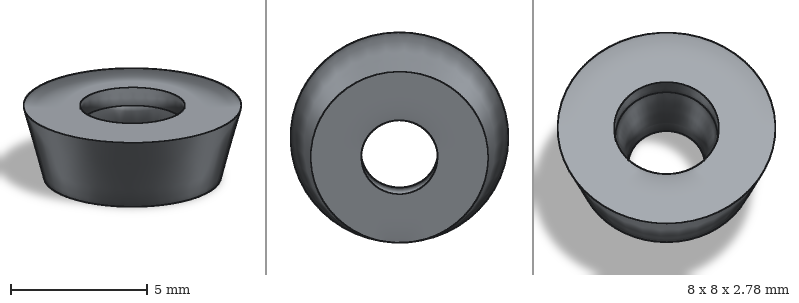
import cadquery as cq
import math

top_diameter = 8.0
thickness = 2.78
relief_angle = 15.0

bore_diameter = 2.8
bore_length = 0.62
mouth_diameter = 3.85
mouth_depth = 0.69
mouth_taper_angle = 4.0

top_radius = top_diameter / 2
bottom_radius = top_radius - thickness * math.tan(math.radians(relief_angle))
bore_radius = bore_diameter / 2
mouth_radius = mouth_diameter / 2
seat_radius = mouth_radius - mouth_depth * math.tan(math.radians(mouth_taper_angle))
seat_top = thickness - mouth_depth


def make_body():
    """Solid cone frustum that widens towards the top face."""
    profile = (
        cq.Workplane("XZ")
        .lineTo(bottom_radius, 0)
        .lineTo(top_radius, thickness)
        .lineTo(0, thickness)
        .close()
    )
    return profile.revolve(360, (0, 0, 0), (0, 1, 0))


def make_hole():
    """Screw hole volume; the seat arc leaves the bore tangentially and flares outwards."""
    profile = (
        cq.Workplane("XZ")
        .lineTo(bore_radius, 0)
        .lineTo(bore_radius, bore_length)
        .tangentArcPoint((seat_radius, seat_top), relative=False)
        .lineTo(mouth_radius, thickness)
        .lineTo(0, thickness)
        .close()
    )
    return profile.revolve(360, (0, 0, 0), (0, 1, 0))


result = make_body().cut(make_hole())